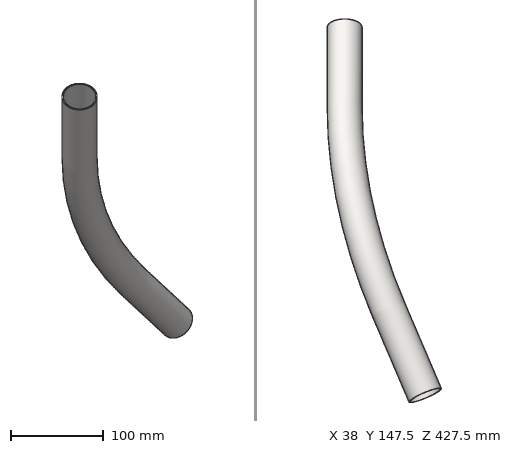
import cadquery as cq
import math

total_height = 427.5
outer_diameter = 38.0
inner_diameter = 35.0
straight_length = 101.0
bend_angle = 30.0

outer_radius = outer_diameter / 2
bend_sin = math.sin(math.radians(bend_angle))
bend_cos = math.cos(math.radians(bend_angle))
lower_end_height = straight_length * bend_cos + outer_radius * bend_sin
bend_height = total_height - straight_length - lower_end_height
bend_radius = bend_height / bend_sin


def tube_section(workplane):
    """Draw the ring-shaped cross-section of the tube."""
    return workplane.circle(outer_radius).circle(inner_diameter / 2)


upper_end = tube_section(cq.Workplane("XY")).extrude(straight_length)

bend = tube_section(cq.Workplane("XY")).revolve(
    bend_angle, (0, bend_radius, 0), (1, bend_radius, 0)
)

lower_end_plane = cq.Plane(
    origin=(0, bend_radius * (1 - bend_cos), -bend_height),
    xDir=(1, 0, 0),
    normal=(0, bend_sin, -bend_cos),
)
lower_end = tube_section(cq.Workplane(lower_end_plane)).extrude(straight_length)

result = upper_end.union(bend).union(lower_end)